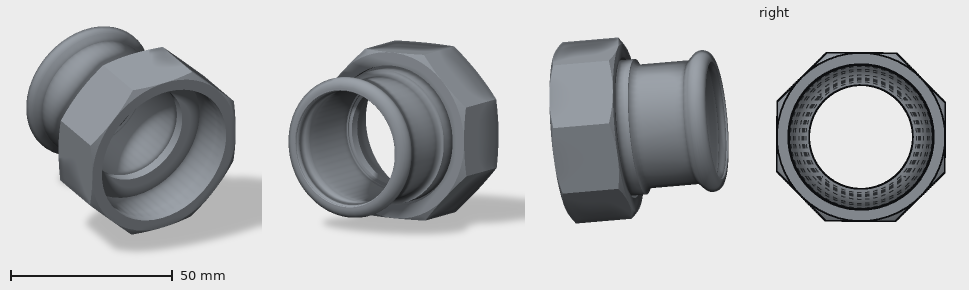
import cadquery as cq
import math

total_length = 47.7
nut_length = 20.0
collar_length = 3.75
nut_start = total_length - nut_length
collar_start = nut_start - collar_length

nut_outer_width = 52.2
nut_turn = -0.5
nut_sides = 8
half_sector = 180.0 / nut_sides
corner_radius = nut_outer_width / 2 / math.cos(math.radians(half_sector - abs(nut_turn)))
chamfer_face_radius = 26.0
chamfer_angle = 30.0

collar_radius = 42.0 / 2
tube_outer_radius = 38.4 / 2
tube_inner_radius = 35.3 / 2
wall = tube_outer_radius - tube_inner_radius
bead_outer_radius = 44.0 / 2
bead_section_radius = 3.0
bead_inner_section_radius = bead_section_radius - wall
bead_ring_radius = bead_outer_radius - bead_section_radius
bead_center_x = bead_section_radius
lip_radius = 18.1
lip_chamfer = 0.2
lip_thickness = 0.5
flare_round_radius = 2.75

weld_radius = collar_radius - tube_outer_radius

nut_lip_thickness = 2.1
nut_lip_radius = 43.75 / 2
nut_bore_radius = 45.05 / 2
flange_radius = 44.5 / 2
flange_thickness = 2.6
flange_start = nut_start + nut_lip_thickness
flange_end = flange_start + flange_thickness

bore_radius = 32.0 / 2
recess_radius = 17.1
recess_depth = 0.5
tube_bore_end = nut_start + 1.05
recess_end = tube_bore_end + recess_depth

seal_inner_radius = 17.9
groove_radius = bead_ring_radius + bead_inner_section_radius
seal_section_radius = (groove_radius - seal_inner_radius) / 2
seal_ring_radius = seal_inner_radius + seal_section_radius
seal_center_x = lip_thickness + seal_section_radius


def bead_point(section_radius, angle):
    """Point (x, r) on a circle around the bead centre; 0 degrees points to +X."""
    a = math.radians(angle)
    return (bead_center_x + section_radius * math.cos(a), bead_ring_radius + section_radius * math.sin(a))


def flare_end(section_radius, radius):
    """Point where the 45 degree flare leaving the bead circle meets a cylinder."""
    x, r = bead_point(section_radius, 45)
    return (x + r - radius, radius)


def revolve_about_x(profile):
    return profile.close().revolve(360, (0, 0, 0), (1, 0, 0))


def make_tube():
    outer, inner = bead_section_radius, bead_inner_section_radius
    groove_diagonal = seal_section_radius * math.cos(math.pi / 4)

    flare_corner_x, _ = flare_end(inner, tube_inner_radius)
    round_center_x = flare_corner_x + flare_round_radius * math.tan(math.pi / 8)
    round_center_r = tube_inner_radius + flare_round_radius

    def round_point(angle):
        a = math.radians(angle)
        return (round_center_x + flare_round_radius * math.cos(a),
                round_center_r + flare_round_radius * math.sin(a))

    def weld_point(angle):
        a = math.radians(angle)
        return (collar_start - weld_radius + weld_radius * math.cos(a),
                collar_radius + weld_radius * math.sin(a))

    profile = (
        cq.Workplane("XY")
        .moveTo(*bead_point(outer, 180))
        .threePointArc(bead_point(outer, 120), bead_point(outer, 45))
        .lineTo(*flare_end(outer, tube_outer_radius))
        .lineTo(*weld_point(-90))
        .threePointArc(weld_point(-45), weld_point(0))
        .lineTo(flange_start, collar_radius)
        .lineTo(flange_start, flange_radius)
        .lineTo(flange_end, flange_radius)
        .lineTo(flange_end, bore_radius)
        .lineTo(recess_end, bore_radius)
        .lineTo(recess_end, recess_radius)
        .lineTo(tube_bore_end, recess_radius)
        .lineTo(tube_bore_end, tube_inner_radius)
        .lineTo(*round_point(-90))
        .threePointArc(round_point(-112.5), round_point(-135))
        .lineTo(*bead_point(inner, 45))
        .threePointArc(bead_point(inner, 67.5), bead_point(inner, 90))
        .lineTo(seal_center_x, groove_radius)
        .threePointArc(
            (seal_center_x - groove_diagonal, seal_ring_radius + groove_diagonal),
            (lip_thickness, seal_ring_radius),
        )
        .lineTo(lip_thickness, lip_radius)
        .lineTo(lip_chamfer, lip_radius)
        .lineTo(0, lip_radius + lip_chamfer)
    )
    return revolve_about_x(profile)


def make_seal():
    return (
        cq.Workplane("XY")
        .center(seal_center_x, seal_ring_radius)
        .circle(seal_section_radius)
        .revolve(360, (-seal_center_x, -seal_ring_radius, 0), (0.5 - seal_center_x, -seal_ring_radius, 0))
    )


def cylinder(start, end, radius):
    return cq.Workplane("YZ", origin=(start, 0, 0)).circle(radius).extrude(end - start)


def make_nut():
    octagon = (
        cq.Workplane("YZ", origin=(nut_start, 0, 0))
        .polygon(nut_sides, 2 * corner_radius)
        .extrude(nut_length)
        .rotate((0, 0, 0), (1, 0, 0), half_sector + nut_turn)
    )
    chamfer_rise = corner_radius - chamfer_face_radius
    chamfer_depth = chamfer_rise * math.tan(math.radians(chamfer_angle))
    envelope = revolve_about_x(
        cq.Workplane("XY")
        .moveTo(nut_start, 0)
        .lineTo(nut_start, chamfer_face_radius)
        .lineTo(nut_start + chamfer_depth, corner_radius)
        .lineTo(total_length - chamfer_depth, corner_radius)
        .lineTo(total_length, chamfer_face_radius)
        .lineTo(total_length, 0)
    )
    lip_hole = cylinder(nut_start, total_length, nut_lip_radius)
    main_bore = cylinder(flange_start, total_length, nut_bore_radius)
    return octagon.intersect(envelope).cut(lip_hole).cut(main_bore)


tube = make_tube()
seal = make_seal()
nut = make_nut()
result = cq.Compound.makeCompound([tube.val(), seal.val(), nut.val()])